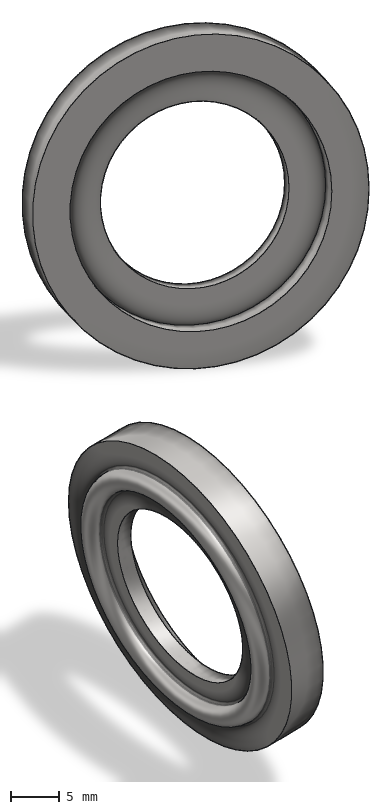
import cadquery as cq

outer_diameter = 36.0
bore_diameter = 20.15
total_width = 5.8
bead_height = 1.55
bead_radius = 1.2
bead_centre_radius = 13.7
lip_thickness = 1.8
recess_diameter = 28.0
root_fillet = 0.25

disc_thickness = total_width - bead_height


def make_disc():
    """Flat ring with its bead-side face at X = 0."""
    return (
        cq.Workplane("YZ")
        .circle(outer_diameter / 2)
        .circle(bore_diameter / 2)
        .extrude(disc_thickness)
    )


def make_bead():
    """Rounded sealing bead on the -X face, revolved about the X axis."""
    crest_base_x = bead_radius - bead_height
    inner_wall = bead_centre_radius - bead_radius
    outer_wall = bead_centre_radius + bead_radius
    embed_depth = lip_thickness / 2
    profile = (
        cq.Workplane("XZ")
        .moveTo(embed_depth, inner_wall - root_fillet)
        .lineTo(0, inner_wall - root_fillet)
        .radiusArc((-root_fillet, inner_wall), -root_fillet)
        .lineTo(crest_base_x, inner_wall)
        .threePointArc((-bead_height, bead_centre_radius), (crest_base_x, outer_wall))
        .lineTo(-root_fillet, outer_wall)
        .radiusArc((0, outer_wall + root_fillet), -root_fillet)
        .lineTo(embed_depth, outer_wall + root_fillet)
        .close()
    )
    return profile.revolve(360, (0, 0, 0), (1, 0, 0))


def make_recess():
    """Counterbore cutter that opens the +X face down to the lip."""
    return (
        cq.Workplane("YZ", origin=(lip_thickness, 0, 0))
        .circle(recess_diameter / 2)
        .extrude(disc_thickness - lip_thickness)
    )


result = make_disc().union(make_bead()).cut(make_recess())